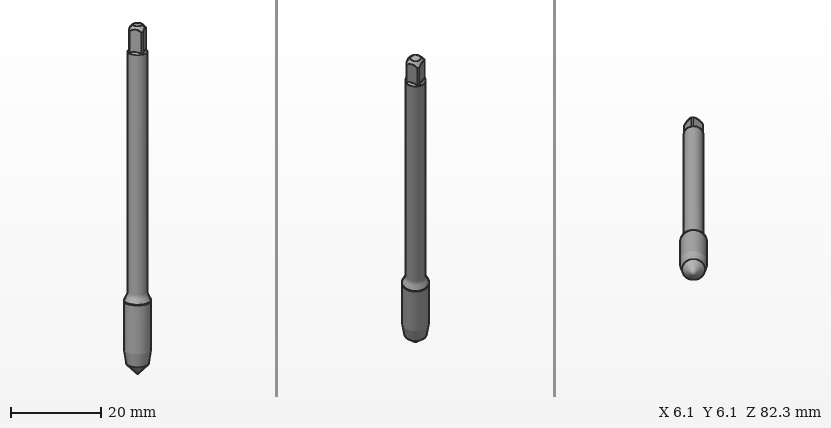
import cadquery as cq

total_length = 82.3

head_diameter = 6.1
nose_diameter = 5.1
point_length = nose_diameter / 2
nose_top = 5.8
joint_height = 17.2

shank_diameter = 4.5
shoulder_bottom = 17.45
shoulder_top = 19.0
shoulder_fillet = 1.2
shank_top = 76.4
shank_chamfer = 0.5

drive_corner_diameter = 4.3
drive_flats = 3.4
drive_tip_diameter = 2.3
drive_tip_length = 1.15
drive_bottom = shank_top - shank_chamfer
drive_length = total_length - drive_bottom

edge_tolerance = 0.1


def turn(profile):
    """Revolve a closed (radius, height) profile around the Z axis."""
    return cq.Workplane("XZ").polyline(profile).close().revolve(360, (0, 0), (0, 1))


def edge_at(height):
    """Selector for the circular edge at the given height."""
    reach = head_diameter
    return cq.selectors.BoxSelector(
        (-reach, -reach, height - edge_tolerance),
        (reach, reach, height + edge_tolerance),
        boundingbox=True,
    )


def make_head():
    """Pointed cylinder that butts against the shank collar."""
    return turn([
        (0, 0),
        (nose_diameter / 2, point_length),
        (head_diameter / 2, nose_top),
        (head_diameter / 2, joint_height),
        (0, joint_height),
    ])


def make_drive():
    """Round stem with a chamfered tip, trimmed to four flats."""
    base = cq.Workplane("XY", origin=(0, 0, drive_bottom))
    stem = (
        base.circle(drive_corner_diameter / 2)
        .extrude(drive_length)
        .faces(">Z")
        .edges()
        .chamfer(drive_tip_length, (drive_corner_diameter - drive_tip_diameter) / 2)
    )
    square_bar = base.rect(drive_flats, drive_flats).extrude(drive_length)
    return stem.intersect(square_bar)


def make_shank():
    """Collar, filleted shoulder and chamfered rod, joined to the square drive."""
    rod = turn([
        (0, joint_height),
        (head_diameter / 2, joint_height),
        (head_diameter / 2, shoulder_bottom),
        (shank_diameter / 2, shoulder_top),
        (shank_diameter / 2, shank_top),
        (0, shank_top),
    ])
    rod = rod.edges("%CIRCLE").edges(edge_at(shoulder_top)).fillet(shoulder_fillet)
    rod = rod.faces(">Z").edges().chamfer(shank_chamfer)
    return rod.union(make_drive())


head = make_head()
shank = make_shank()

result = cq.Compound.makeCompound([head.val(), shank.val()])